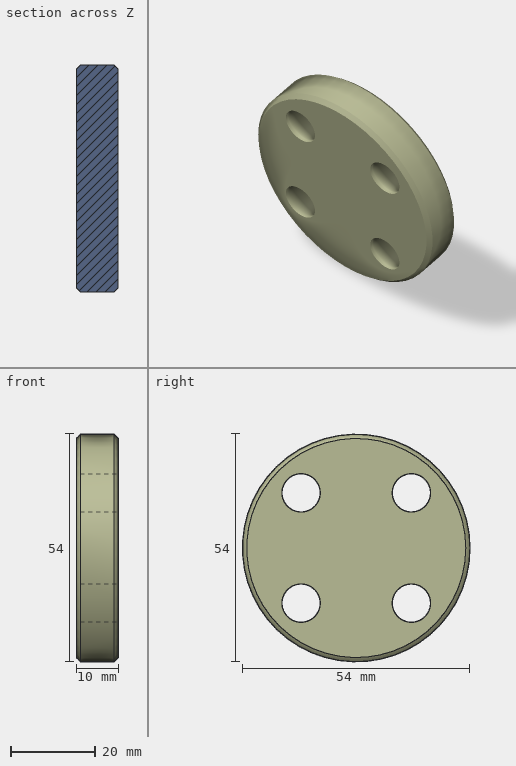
import cadquery as cq

outer_diameter = 54.0
thickness = 10.0
edge_chamfer = 1.0

hole_count = 4
hole_diameter = 9.0
bolt_circle_diameter = 37.0
first_hole_angle = 45.0

disc = (
    cq.Workplane("YZ")
    .circle(outer_diameter / 2)
    .extrude(thickness)
    .edges("%CIRCLE")
    .chamfer(edge_chamfer)
)

bolt_holes = (
    cq.Workplane("YZ")
    .polarArray(bolt_circle_diameter / 2, first_hole_angle, 360, hole_count)
    .circle(hole_diameter / 2)
    .extrude(thickness)
)

result = disc.cut(bolt_holes)